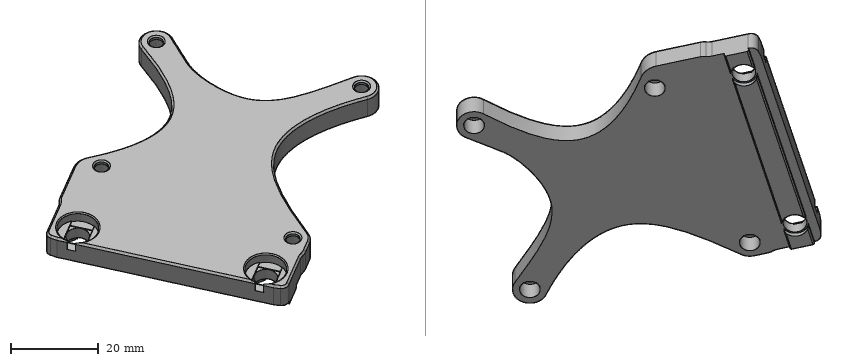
import cadquery as cq
import math

length_y = 72.4
plate_thickness = 5.9
ridge_height = 1.1
top_z = ridge_height + plate_thickness
edge_chamfer = 0.5

shoulder_right = 58.8
base_left = 0.5
base_right = 58.35
base_corner = 2.25
corner_lead_in = 3.05
corner_lead_in_rise = 0.2
corner_radius_x = 1.45
step_low = 10.8
step_high = 13.4

lug_radius = 4.0
lug_y = length_y - lug_radius
upper_left_hole = (5.8, lug_y)
upper_right_hole = (54.9, lug_y)
lower_left_hole = (6.1, 25.8)
lower_right_hole = (shoulder_right - lug_radius, 16.4)
screw_diameter = 3.3
screw_chamfer = 0.35
countersink_angle = 90
insert_diameter = 4.7
insert_roof = 1.0

shoulder_radius = 5.0
shoulder_center = (shoulder_radius, 23.8)

left_waist = (15.9, 45.0)
right_waist = (42.6, 42.85)
top_valley = (29.25, 57.3)
top_valley_left_flank = (16.65, 62.5)

seat_spacing = 44.95
seat_center_x = 29.43
seat_y = 5.0
seat_diameter = 9.55
seat_rim_chamfer = 0.3
rim_chamfer_angle = 45
front_notch_width = 2.0
seat_depth = 2.45
bolt_diameter = 5.4
step_depth = 0.2
ridge_clearance_diameter = 6.15

ridge_width = 5.8
ridge_front = seat_y - ridge_width / 2
ridge_chamfer = 0.35


def on_circle(center, radius, degrees):
    """Point on a circle at the given angle."""
    angle = math.radians(degrees)
    return (center[0] + radius * math.cos(angle), center[1] + radius * math.sin(angle))


def direction(degrees):
    """Unit vector at the given angle."""
    return on_circle((0, 0), 1, degrees)


def corner_points(wall_x, inward):
    """Wall end, arc middle, arc end and front-edge start of a base corner."""
    arc_end_x = wall_x + inward * corner_radius_x
    bulge = 1 - math.sqrt(0.5)
    arc_height = base_corner - corner_lead_in_rise
    middle = (wall_x + inward * corner_radius_x * bulge, corner_lead_in_rise + arc_height * bulge)
    return (
        (wall_x, base_corner),
        middle,
        (arc_end_x, corner_lead_in_rise),
        (wall_x + inward * corner_lead_in, 0),
    )


def make_plate():
    """Plate outline, drawn counter-clockwise from the front edge, with a chamfered top rim."""
    left_wall, left_mid, left_arc_end, front_left = corner_points(base_left, 1)
    right_wall, right_mid, right_arc_end, front_right = corner_points(base_right, -1)
    step_middle = (step_low + step_high) / 2

    right_shoulder_angle = 45
    right_outer_angle = -52
    right_inner_angle = 135
    left_inner_angle = 43
    left_outer_angle = 228
    left_shoulder_angle = 124

    outline = (
        cq.Workplane("XY", origin=(0, 0, ridge_height))
        .moveTo(*front_left)
        .lineTo(*front_right)
        .lineTo(*right_arc_end)
        .threePointArc(right_mid, right_wall)
        .lineTo(base_right, step_low)
        .tangentArcPoint(((base_right + shoulder_right) / 2, step_middle), relative=False)
        .tangentArcPoint((shoulder_right, step_high), relative=False)
        .lineTo(shoulder_right, lower_right_hole[1])
        .threePointArc(
            on_circle(lower_right_hole, lug_radius, right_shoulder_angle / 2),
            on_circle(lower_right_hole, lug_radius, right_shoulder_angle),
        )
        .spline(
            [right_waist, on_circle(upper_right_hole, lug_radius, right_outer_angle)],
            tangents=[direction(right_shoulder_angle + 90), direction(right_outer_angle + 90)],
            includeCurrent=True,
        )
        .threePointArc(
            on_circle(upper_right_hole, lug_radius, (right_outer_angle + right_inner_angle) / 2),
            on_circle(upper_right_hole, lug_radius, right_inner_angle),
        )
        .spline(
            [
                top_valley,
                top_valley_left_flank,
                on_circle(upper_left_hole, lug_radius, left_inner_angle),
            ],
            tangents=[direction(right_inner_angle + 90), direction(left_inner_angle + 90)],
            includeCurrent=True,
        )
        .threePointArc(
            on_circle(upper_left_hole, lug_radius, (left_inner_angle + left_outer_angle) / 2),
            on_circle(upper_left_hole, lug_radius, left_outer_angle),
        )
        .spline(
            [left_waist, on_circle(shoulder_center, shoulder_radius, left_shoulder_angle)],
            tangents=[direction(left_outer_angle + 90), direction(left_shoulder_angle + 90)],
            includeCurrent=True,
        )
        .threePointArc(
            on_circle(shoulder_center, shoulder_radius, (left_shoulder_angle + 180) / 2),
            on_circle(shoulder_center, shoulder_radius, 180),
        )
        .lineTo(0, step_high)
        .tangentArcPoint((base_left / 2, step_middle), relative=False)
        .tangentArcPoint((base_left, step_low), relative=False)
        .lineTo(*left_wall)
        .threePointArc(left_mid, left_arc_end)
        .close()
    )
    return outline.extrude(plate_thickness).faces(">Z").chamfer(edge_chamfer)


def make_ridge():
    return (
        cq.Workplane("XY")
        .box(base_right - base_left, ridge_width, ridge_height, centered=False)
        .translate((base_left, ridge_front, 0))
        .faces("<Z")
        .edges("|X")
        .chamfer(ridge_chamfer)
    )


def cut_screw_holes(body):
    centers = [upper_left_hole, upper_right_hole, lower_left_hole, lower_right_hole]
    countersink_diameter = screw_diameter + 2 * screw_chamfer
    insert_depth = plate_thickness - insert_roof
    top_face = cq.Workplane("XY", origin=(0, 0, top_z))
    insert_bores = (
        cq.Workplane("XY", origin=(0, 0, ridge_height))
        .pushPoints(centers)
        .circle(insert_diameter / 2)
        .extrude(insert_depth)
    )
    return (
        body.copyWorkplane(top_face)
        .pushPoints(centers)
        .cskHole(screw_diameter, countersink_diameter, countersink_angle)
        .cut(insert_bores)
    )


def make_seat_cutter():
    """Bolt seat around the Z axis, from the underside to the top of the plate."""
    pocket_floor = top_z - seat_depth
    slot_floor = pocket_floor - step_depth
    square_floor = slot_floor - step_depth

    pocket = cq.Workplane("XY", origin=(0, 0, pocket_floor)).circle(seat_diameter / 2).extrude(seat_depth)
    rim = (
        cq.Workplane("XY", origin=(0, 0, top_z))
        .circle(seat_diameter / 2 + seat_rim_chamfer)
        .extrude(-seat_rim_chamfer, taper=rim_chamfer_angle)
    )
    slot_sides = cq.Workplane("XY", origin=(0, 0, slot_floor)).rect(bolt_diameter, seat_diameter)
    slot = (
        cq.Workplane("XY", origin=(0, 0, slot_floor))
        .circle(seat_diameter / 2)
        .extrude(step_depth)
        .intersect(slot_sides.extrude(step_depth))
    )
    square = (
        cq.Workplane("XY", origin=(0, 0, square_floor))
        .rect(bolt_diameter, bolt_diameter)
        .extrude(step_depth)
    )
    front_notch = (
        cq.Workplane("XY", origin=(0, -seat_y / 2, slot_floor))
        .rect(front_notch_width, seat_y)
        .extrude(top_z - slot_floor)
    )
    bolt_hole = cq.Workplane("XY").circle(bolt_diameter / 2).extrude(top_z)
    ridge_clearance = cq.Workplane("XY").circle(ridge_clearance_diameter / 2).extrude(ridge_height)

    cutter = pocket
    for stage in (rim, slot, square, front_notch, bolt_hole, ridge_clearance):
        cutter = cutter.union(stage)
    return cutter


result = cut_screw_holes(make_plate().union(make_ridge()))
for side in (-1, 1):
    seat_x = seat_center_x + side * seat_spacing / 2
    result = result.cut(make_seat_cutter().translate((seat_x, seat_y, 0)))